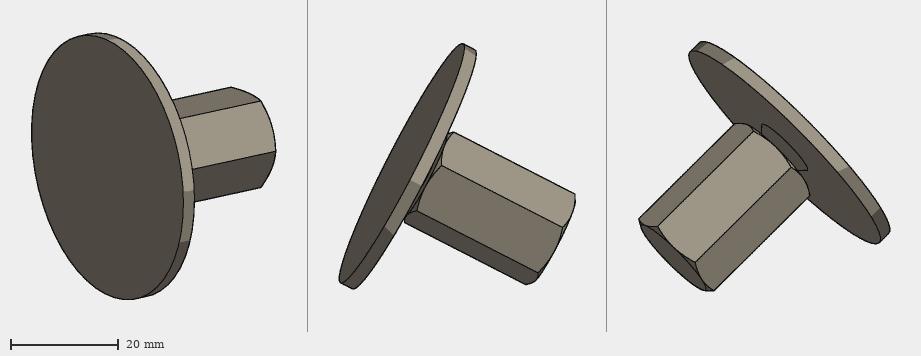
import cadquery as cq
import math

plate_diameter = 50.0
plate_thickness = 2.5
neck_base_diameter = 12.0
neck_height = 2.5
neck_slope = 45.0

hex_across_flats = 17.0
hex_length = 27.0
chamfer_angle = 30.0
chamfer_circle_diameter = hex_across_flats

hex_across_corners = hex_across_flats / math.cos(math.radians(30))
hex_start = plate_thickness + neck_height
hex_end = hex_start + hex_length


def revolve_about_y(outline):
    """Turn a (radius, y) outline around the Y axis."""
    return cq.Workplane("XY").polyline(outline).close().revolve(360, (0, 0), (0, 1))


def make_plate():
    """Disc and its tapering neck as one turned body."""
    base_radius = neck_base_diameter / 2
    tip_radius = base_radius - neck_height * math.tan(math.radians(neck_slope))
    return revolve_about_y([
        (0, 0),
        (plate_diameter / 2, 0),
        (plate_diameter / 2, plate_thickness),
        (base_radius, plate_thickness),
        (tip_radius, hex_start),
        (0, hex_start),
    ])


def make_standoff():
    """Hexagonal bar with its corners turned down conically at both ends."""
    bar = (
        cq.Workplane("XZ", origin=(0, hex_start, 0))
        .polygon(6, hex_across_corners)
        .extrude(-hex_length)
    )
    end_radius = chamfer_circle_diameter / 2
    corner_radius = hex_across_corners / 2
    chamfer_length = (corner_radius - end_radius) * math.tan(math.radians(chamfer_angle))
    envelope = revolve_about_y([
        (0, hex_start),
        (end_radius, hex_start),
        (corner_radius, hex_start + chamfer_length),
        (corner_radius, hex_end - chamfer_length),
        (end_radius, hex_end),
        (0, hex_end),
    ])
    return bar.intersect(envelope)


plate = make_plate()
standoff = make_standoff()

result = cq.Compound.makeCompound([plate.val(), standoff.val()])